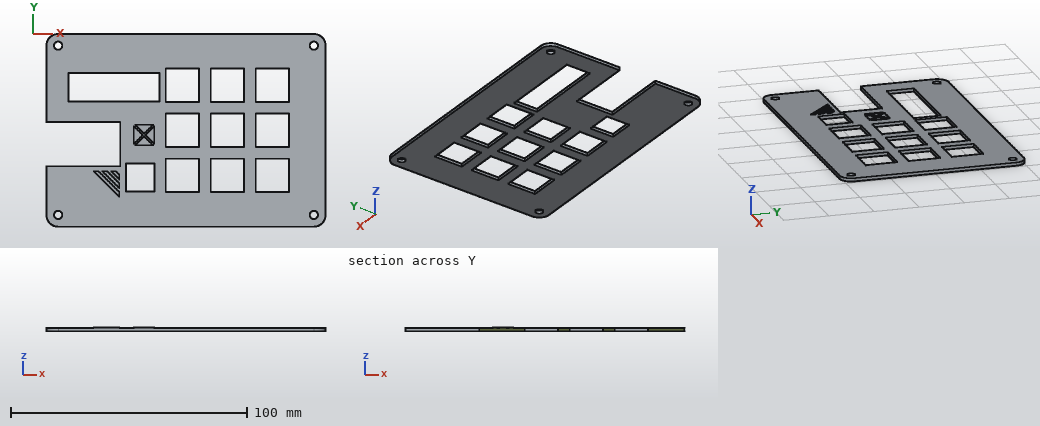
import cadquery as cq

PLATE_LENGTH = 118.17
PLATE_WIDTH = 81.6
PLATE_THICKNESS = 1.5
CORNER_RADIUS = 5.0
SCREW_HOLE_DIAMETER = 3.4

MARK_HEIGHT = 0.2

KEY_SIZE = 14.0
KEY_PITCH = 19.05
KEY_COUNT = 3
KEY_GRID_CENTER = (17.5, 0.02)

DISPLAY_WINDOW = (-49.65, 12.2, 38.4, 12.0)
ENCODER_WINDOW = (-25.3, -25.8, 11.9, 11.7)

NOTCH_RIGHT = -27.85
NOTCH_BOTTOM = -15.1
NOTCH_WIDTH = 18.6

CROSS_MARK_CENTER = (-17.72, -2.0)
CROSS_MARK_SIZE = 8.7
CROSS_GAP = 0.8

STRIPE_COUNT = 3
STRIPE_CORNER = (-28.15, -17.28)
STRIPE_REACH = 10.9
STRIPE_PITCH = 3.67
STRIPE_BREADTH = 2.0


def make_plate():
    plate = cq.Workplane("XY").box(
        PLATE_LENGTH, PLATE_WIDTH, PLATE_THICKNESS, centered=(True, True, False)
    )
    return plate.edges("|Z").fillet(CORNER_RADIUS)


def through_rectangle(left, bottom, length, width):
    return (
        cq.Workplane("XY")
        .box(length, width, PLATE_THICKNESS, centered=False)
        .translate((left, bottom, 0))
    )


def cut_screw_holes(plate):
    """Screw holes share their centres with the rounded corners."""
    spacing_x = PLATE_LENGTH - 2 * CORNER_RADIUS
    spacing_y = PLATE_WIDTH - 2 * CORNER_RADIUS
    return (
        plate.faces(">Z")
        .workplane(origin=(0, 0, PLATE_THICKNESS))
        .rect(spacing_x, spacing_y, forConstruction=True)
        .vertices()
        .hole(SCREW_HOLE_DIAMETER)
    )


def cut_key_openings(plate):
    return (
        plate.faces(">Z")
        .workplane(origin=(*KEY_GRID_CENTER, PLATE_THICKNESS))
        .rarray(KEY_PITCH, KEY_PITCH, KEY_COUNT, KEY_COUNT)
        .rect(KEY_SIZE, KEY_SIZE)
        .cutThruAll()
    )


def cut_notch(plate):
    plate_left = -PLATE_LENGTH / 2
    notch_depth = NOTCH_RIGHT - plate_left
    return plate.cut(through_rectangle(plate_left, NOTCH_BOTTOM, notch_depth, NOTCH_WIDTH))


def raised_polygon(points):
    return (
        cq.Workplane("XY", origin=(0, 0, PLATE_THICKNESS))
        .polyline(points)
        .close()
        .extrude(MARK_HEIGHT)
    )


def add_cross_mark(plate):
    half_size = CROSS_MARK_SIZE / 2
    inset = CROSS_GAP / 2**0.5
    triangle = raised_polygon(
        [(0, inset), (half_size - inset, half_size), (inset - half_size, half_size)]
    )
    for quarter_turn in range(4):
        turned = triangle.rotate((0, 0, 0), (0, 0, 1), 90 * quarter_turn)
        plate = plate.union(turned.translate((*CROSS_MARK_CENTER, 0)))
    return plate


def add_stripes(plate):
    corner_x, corner_y = STRIPE_CORNER
    for index in range(STRIPE_COUNT):
        outer = STRIPE_REACH - index * STRIPE_PITCH
        inner = outer - STRIPE_BREADTH
        stripe = raised_polygon(
            [
                (corner_x - outer, corner_y),
                (corner_x - inner, corner_y),
                (corner_x, corner_y - inner),
                (corner_x, corner_y - outer),
            ]
        )
        plate = plate.union(stripe)
    return plate


result = make_plate()
result = cut_screw_holes(result)
result = cut_key_openings(result)
result = result.cut(through_rectangle(*DISPLAY_WINDOW))
result = result.cut(through_rectangle(*ENCODER_WINDOW))
result = cut_notch(result)
result = add_cross_mark(result)
result = add_stripes(result)